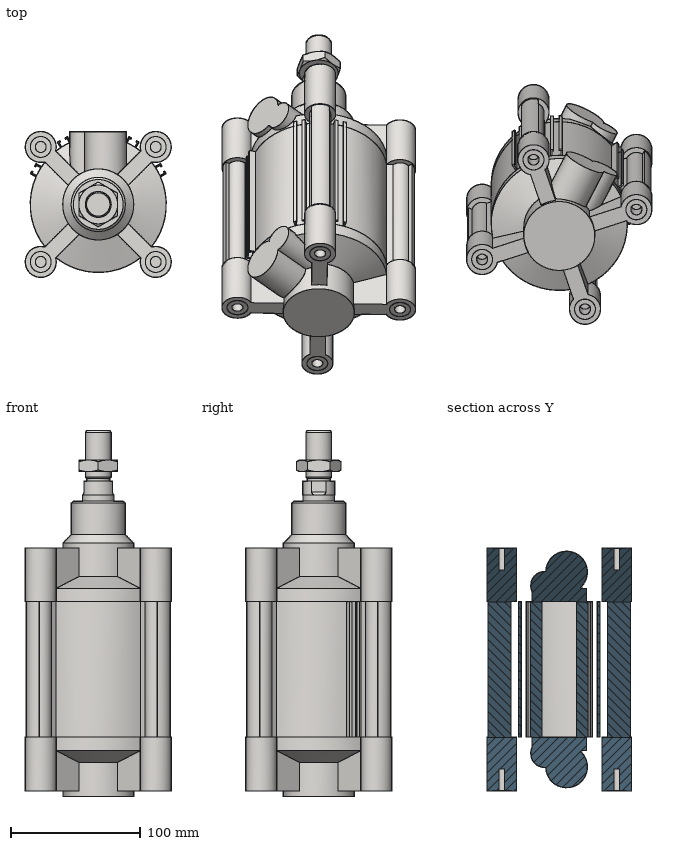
import cadquery as cq
import math

overall_height = 283.0
spigot_height = 4.2
cover_height = 41.5
barrel_length = 104.7
lower_cover_top = spigot_height + cover_height
upper_cover_bottom = lower_cover_top + barrel_length
nose_cone_base = 195.8
nose_top = 228.5

body_diameter = 105.3
hub_diameter = 55.0
nose_diameter = 42.0
nose_chamfer = 1.7
nose_cone_rise = (hub_diameter - nose_diameter) / 2
disc_height = 10.2
cone_height = 9.3
lobe_diameter = 24.0
lobe_spacing = 89.0
rib_width = 12.0
screw_hole_diameter = 8.5
screw_hole_depth = 17.0
screw_recess_diameter = 16.0
screw_recess_depth = 0.3

port_end = 56.3
main_port_diameter = 32.3
main_port_offset = 5.7
main_port_height = 23.0
small_port_diameter = 22.0
small_port_offset = -11.0
small_port_height = 12.5

barrel_bore = 100.0
column_diameter = 16.5
column_key_radius = 11.3
column_key_half_angle = 38.0
slot_angle_from_lobe = 16.2
slot_outer_reach = 57.5
slot_outer_width = 9.0
slot_inner_width = 6.8
slot_mouth_width = 4.2
slot_lip = 1.0

rod_diameter = 24.5
collar_diameter = 25.0
collar_bottom = 233.0
collar_top = 243.7
wrench_flat_width = 22.0
flat_ramp_depth = 0.8
flat_ramp_height = 2.3
neck_diameter = 18.0
thread_diameter = 20.0
thread_bottom = 246.0
tip_chamfer_height = 1.7
thread_chamfer = (thread_diameter - neck_diameter) / 2

nut_width = 30.0
nut_bottom = 251.0
nut_height = 9.0
nut_bevel_angle = 30.0

lobe_angles = [45, 135, 225, 315]
back_lobe_angles = [45, 135]
lobe_radius_from_axis = lobe_spacing / math.sqrt(2)


def cylinder(diameter, bottom, top):
    """Upright cylinder on the main axis."""
    return cq.Workplane("XY").workplane(offset=bottom).circle(diameter / 2).extrude(top - bottom)


def revolved(profile):
    """Solid of revolution about Z from (radius, height) points."""
    return cq.Workplane("XZ").polyline(profile).close().revolve(360, (0, 0), (0, 1))


def lobe_cylinders(diameter, bottom, height):
    """Four upright cylinders, one at each corner."""
    return (
        cq.Workplane("XY")
        .workplane(offset=bottom)
        .rect(lobe_spacing, lobe_spacing, forConstruction=True)
        .vertices()
        .circle(diameter / 2)
        .extrude(height)
    )


def corner_ribs(height):
    """Two crossed diagonal walls that reach the four corner centres, from Z = 0 up."""
    ribs = cq.Workplane("XY").rect(2 * lobe_radius_from_axis, rib_width).extrude(height)
    ribs = ribs.union(ribs.rotate((0, 0, 0), (0, 0, 1), 90))
    return ribs.rotate((0, 0, 0), (0, 0, 1), lobe_angles[0])


def port_stub(diameter, offset, height):
    """Round port boss from the main axis out to the +Y side."""
    return cq.Workplane("XZ").center(offset, height).circle(diameter / 2).extrude(-port_end)


def cover_body(hub_top):
    """Cover standing on its barrel joint at Z = 0, with the hub rising to hub_top."""
    hub_radius = hub_diameter / 2
    cover = revolved([
        (0, 0),
        (body_diameter / 2, 0),
        (body_diameter / 2, disc_height),
        (hub_radius, disc_height + cone_height),
        (hub_radius, hub_top),
        (0, hub_top),
    ])
    cover = cover.union(corner_ribs(cover_height))
    cover = cover.union(port_stub(main_port_diameter, main_port_offset, main_port_height))
    cover = cover.union(port_stub(small_port_diameter, small_port_offset, small_port_height))
    cover = cover.union(lobe_cylinders(lobe_diameter, 0, cover_height))
    recess_floor = cover_height - screw_recess_depth
    cover = cover.cut(lobe_cylinders(screw_recess_diameter, recess_floor, screw_recess_depth))
    hole_floor = cover_height - screw_hole_depth
    return cover.cut(lobe_cylinders(screw_hole_diameter, hole_floor, screw_hole_depth))


def make_lower_cover():
    """Cover turned upside down by mirroring, its hub forming the bottom spigot."""
    cover = cover_body(lower_cover_top)
    return cover.mirror("XY").translate((0, 0, lower_cover_top))


def make_upper_cover():
    """Cover with a stepped nose on its hub and a bore for the rod."""
    cover = cover_body(nose_cone_base - upper_cover_bottom).translate((0, 0, upper_cover_bottom))
    nose_radius = nose_diameter / 2
    nose = revolved([
        (0, nose_cone_base),
        (hub_diameter / 2, nose_cone_base),
        (nose_radius, nose_cone_base + nose_cone_rise),
        (nose_radius, nose_top),
        (0, nose_top),
    ])
    nose = nose.faces(">Z").edges().chamfer(nose_chamfer)
    rod_bore = cylinder(rod_diameter, upper_cover_bottom, nose_top)
    return cover.union(nose).cut(rod_bore)


def column_key():
    """Sector on the outward side of a corner column, for a column on the +X axis."""
    half_angle = math.radians(column_key_half_angle)
    end_x = column_key_radius * math.cos(half_angle)
    end_y = column_key_radius * math.sin(half_angle)
    return (
        cq.Workplane("XY")
        .center(lobe_radius_from_axis, 0)
        .moveTo(0, 0)
        .lineTo(end_x, -end_y)
        .threePointArc((column_key_radius, 0), (end_x, end_y))
        .close()
        .extrude(barrel_length)
    )


def sensor_rail():
    """Rail with a T-slot that opens outward along +X."""
    root = barrel_bore / 2
    floor = body_diameter / 2
    cavity_end = slot_outer_reach - slot_lip

    def block(start, end, width):
        middle = (start + end) / 2
        return cq.Workplane("XY").center(middle, 0).rect(end - start, width).extrude(barrel_length)

    rail = block(root, slot_outer_reach, slot_outer_width)
    rail = rail.cut(block(floor, cavity_end, slot_inner_width))
    return rail.cut(block(cavity_end, slot_outer_reach, slot_mouth_width))


def make_barrel():
    """Tube with four corner columns and four sensor rails beside the +Y columns."""
    barrel = cylinder(body_diameter, 0, barrel_length)
    barrel = barrel.union(corner_ribs(barrel_length))
    barrel = barrel.union(lobe_cylinders(column_diameter, 0, barrel_length))
    for angle in lobe_angles:
        barrel = barrel.union(column_key().rotate((0, 0, 0), (0, 0, 1), angle))
    for lobe_angle in back_lobe_angles:
        for side in (-1, 1):
            angle = lobe_angle + side * slot_angle_from_lobe
            barrel = barrel.union(sensor_rail().rotate((0, 0, 0), (0, 0, 1), angle))
    barrel = barrel.cut(cylinder(barrel_bore, 0, barrel_length))
    return barrel.translate((0, 0, lower_cover_top))


def wrench_flat_cutter():
    """Removes the +X side of the collar, with a steep ramp at the bottom."""
    flat_x = wrench_flat_width / 2
    outer_x = collar_diameter / 2
    return (
        cq.Workplane("XZ")
        .moveTo(outer_x, collar_bottom)
        .lineTo(flat_x + flat_ramp_depth, collar_bottom)
        .lineTo(flat_x, collar_bottom + flat_ramp_height)
        .lineTo(flat_x, collar_top)
        .lineTo(outer_x, collar_top)
        .close()
        .extrude(collar_diameter / 2, both=True)
    )


def make_piston_rod():
    """Rod from the barrel joint up to its threaded tip."""
    rod_radius = rod_diameter / 2
    collar_radius = collar_diameter / 2
    neck_radius = neck_diameter / 2
    thread_radius = thread_diameter / 2
    rod = revolved([
        (0, upper_cover_bottom),
        (rod_radius, upper_cover_bottom),
        (rod_radius, collar_bottom),
        (collar_radius, collar_bottom),
        (collar_radius, collar_top),
        (neck_radius, collar_top),
        (neck_radius, thread_bottom),
        (thread_radius, thread_bottom + thread_chamfer),
        (thread_radius, overall_height - tip_chamfer_height),
        (neck_radius, overall_height),
        (0, overall_height),
    ])
    flat = wrench_flat_cutter()
    return rod.cut(flat).cut(flat.mirror("YZ"))


def make_lock_nut():
    """Hexagon nut with corners on the Y axis and both ends bevelled."""
    corner_radius = nut_width / math.sqrt(3)
    face_radius = nut_width / 2
    bevel = (corner_radius - face_radius) * math.tan(math.radians(nut_bevel_angle))
    nut_top = nut_bottom + nut_height
    hexagon = (
        cq.Workplane("XY")
        .workplane(offset=nut_bottom)
        .polygon(6, 2 * corner_radius)
        .extrude(nut_height)
        .rotate((0, 0, 0), (0, 0, 1), 90)
    )
    bevelled_blank = revolved([
        (0, nut_bottom),
        (face_radius, nut_bottom),
        (corner_radius, nut_bottom + bevel),
        (corner_radius, nut_top - bevel),
        (face_radius, nut_top),
        (0, nut_top),
    ])
    return hexagon.intersect(bevelled_blank).cut(cylinder(thread_diameter, nut_bottom, nut_top))


lower_cover = make_lower_cover()
barrel = make_barrel()
upper_cover = make_upper_cover()
piston_rod = make_piston_rod()
lock_nut = make_lock_nut()

result = cq.Compound.makeCompound([
    lower_cover.val(),
    barrel.val(),
    upper_cover.val(),
    piston_rod.val(),
    lock_nut.val(),
])